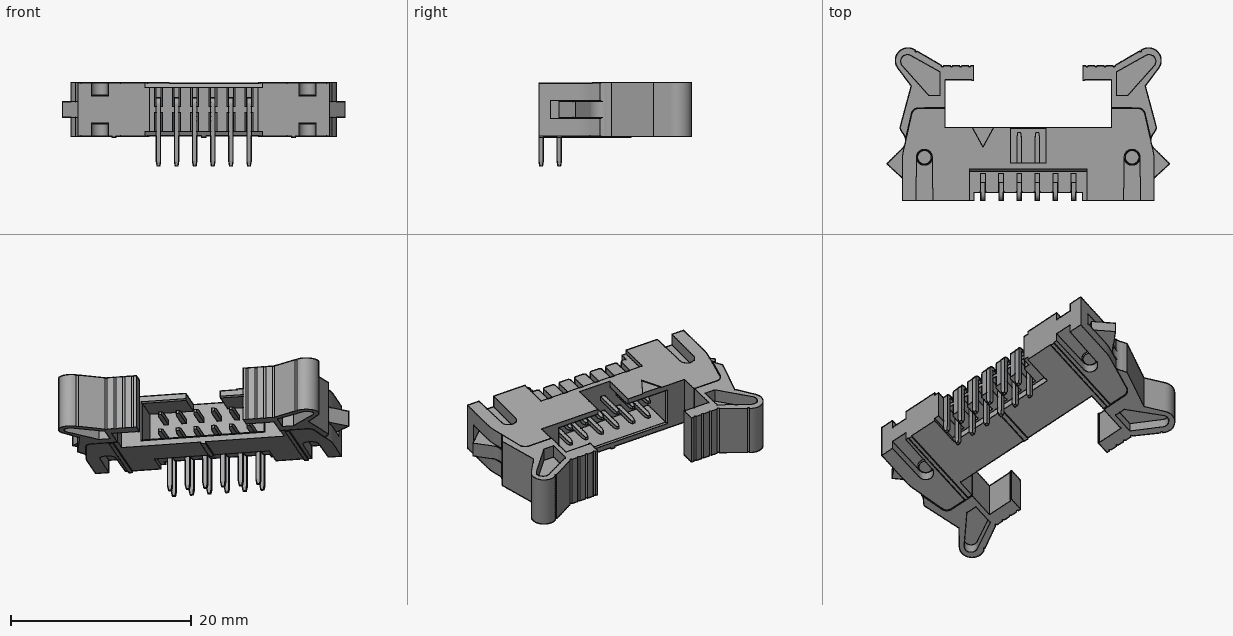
import cadquery as cq
import math


BODY_HALF_Z = 2.9
BODY_HALF_X = 13.93
BODY_Y = 8.1
EAR_Y = 10.2
EAR_INNER_X = 9.2
TAPER_Y = 5.0
EAR_CORNER_X = 12.75
EAR_CORNER_R = 0.8
FLANK_BLEND_R = 5.0

CAVITY_FLOOR_Y = 4.15
CAVITY_HALF_X = 6.9
CAVITY_HALF_Z = 2.13
CAVITY_MOUTH_CHAMFER = 0.15
KEY_HALF_X = 1.95

RECESS_HALF_X = 6.5
RECESS_HALF_Z = 2.4
RECESS_TOP_Y = 3.5
RECESS_FLOOR_Y = 3.22
BLOCK_FRONT_Y = 0.88
BLOCK_HALF_X = 5.98

PIN_COUNT = 6
PIN_PITCH = 2.0
PIN_SIZE = 0.5
PIN_TIP_SIZE = 0.3
PIN_TIP_LENGTH = 0.53
PIN_ROW_Z = 1.0
PIN_BEND_R = 0.2
PIN_BOTTOM_Z = -6.25
PIN_END_Y = 7.5
LOWER_TAIL_Y = 2.0

GROOVE_WIDTH = 0.53
GROOVE_MOUTH_WIDTH = 0.88
GROOVE_FLARE = 0.15
GROOVE_BACK_Y = 2.97
GROOVE_INNER_Z = 0.35
GROOVE_STEP_Z = 1.35

MOUNT_X = 11.5
MOUNT_Y = 4.8
MOUNT_R = 0.88
MOUNT_MOUTH_HALF_WIDTH = 0.95
MOUNT_FLOOR_Z = 1.47
MOUNT_PAD_HEIGHT = 0.15
MOUNT_PAD_TOP_R = 0.75

MARK_HALF_WIDTH = 1.2
MARK_TIP_Y = 5.92
MARK_HEIGHT = 0.1
RIB_X = 9.95
RIB_WIDTH = 0.45
CENTER_RIB_WIDTH = 0.53
RIB_HEIGHT = 0.2

LEVER_HALF_Z = 3.0
LEVER_GAP = 0.05
LEVER_SLOT_HALF_Z = 1.0
LEVER_ARM_HALF_Z = 0.88
LEVER_SLOT_X = 11.42
LEVER_SLOT_Y = 1.3
LOBE_TIP = (-15.65, 4.07)
LOBE_TOP = (-13.87, 5.82)
LOBE_BOTTOM = (-13.68, 2.25)
ARM_HEEL_Y = 3.75
ARM_ROOT = 0.63
HEAD_CENTER = (-13.3, 15.5)
HEAD_R = 1.4
ROUND_END_DIRECTION = 135
HEEL = (-12.95, 12.68)
HIP_TOP = (-14.2, 8.0)
HIP_BOTTOM = (-13.93, 7.5)
NECK_MIDDLE = (-13.58, 6.67)
GRIP_Y = 14.93
GRIP_START_X = -9.55
GRIP_BOTTOM_Y = 13.35
GRIP_END_X = -6.05
GRIP_LIP = (0.2, 0.1)
GRIP_NOTCH_PITCH = 1.0
GRIP_NOTCH_FIRST_X = -9.48
GRIP_NOTCH_COUNT = 4
GRIP_NOTCH_R = 0.13
HEAD_NOTCH = (-12.4, 16.6)

POCKET_CENTER = (-13.35, 15.4)
POCKET_R = 0.75
POCKET_INNER_X = -9.75
POCKET_TOP_Y = 14.25
POCKET_BOTTOM_Y = 11.65
POCKET_CORNER_X = -11.02
POCKET_DEPTH = 1.53

PIN_XS = [(i - (PIN_COUNT - 1) / 2) * PIN_PITCH for i in range(PIN_COUNT)]


def box(x0, x1, y0, y1, z0, z1):
    """Axis-aligned box between two corners."""
    return cq.Workplane("XY").box(x1 - x0, y1 - y0, z1 - z0, centered=False).translate((x0, y0, z0))


def plate(outline, half_z):
    """Extrude a closed XY outline symmetrically about the mid-plane."""
    return outline.extrude(half_z, both=True)


def both_sides(shape, plane):
    """A shape together with its mirror image."""
    return shape.union(shape.mirror(plane))


def tangent_point(point, center, radius, side):
    """Touch point of the tangent from a point to a circle; side is +1 or -1."""
    dx = point[0] - center[0]
    dy = point[1] - center[1]
    angle = math.atan2(dy, dx) + side * math.acos(radius / math.hypot(dx, dy))
    return (center[0] + radius * math.cos(angle), center[1] + radius * math.sin(angle))


def point_on_circle(center, radius, degrees):
    """Point on a circle at a given direction."""
    angle = math.radians(degrees)
    return (center[0] + radius * math.cos(angle), center[1] + radius * math.sin(angle))


def housing_prism(half_z):
    """Solid housing: a U outline with leaning, rounded ears."""
    half_outline = [
        (0, 0), (-BODY_HALF_X, 0), (-BODY_HALF_X, TAPER_Y), (-EAR_CORNER_X, EAR_Y),
        (-EAR_INNER_X, EAR_Y), (-EAR_INNER_X, BODY_Y), (0, BODY_Y),
    ]
    half = cq.Workplane("XY").workplane(offset=-half_z).polyline(half_outline).close().extrude(2 * half_z)
    half = half.edges(cq.NearestToPointSelector((-EAR_CORNER_X, EAR_Y, 0))).fillet(EAR_CORNER_R)
    half = half.edges(cq.NearestToPointSelector((-BODY_HALF_X, TAPER_Y, 0))).fillet(FLANK_BLEND_R)
    return both_sides(half, "YZ")


def cavity():
    """Mating cavity with a chamfered mouth, and the key slot through the upper wall."""
    pocket = box(-CAVITY_HALF_X, CAVITY_HALF_X, CAVITY_FLOOR_Y, BODY_Y, -CAVITY_HALF_Z, CAVITY_HALF_Z)
    mouth = (
        cq.Workplane("XZ", origin=(0, BODY_Y - CAVITY_MOUTH_CHAMFER, 0))
        .rect(2 * CAVITY_HALF_X, 2 * CAVITY_HALF_Z)
        .workplane(offset=-CAVITY_MOUTH_CHAMFER)
        .rect(2 * (CAVITY_HALF_X + CAVITY_MOUTH_CHAMFER), 2 * (CAVITY_HALF_Z + CAVITY_MOUTH_CHAMFER))
        .loft(combine=True)
    )
    key = box(-KEY_HALF_X, KEY_HALF_X, CAVITY_FLOOR_Y, BODY_Y, 0, BODY_HALF_Z)
    return pocket.union(mouth).union(key)


def tail_recess():
    """Stepped recess around the pin tails, leaving the block that the tails pass through."""
    slope = (RECESS_TOP_Y - RECESS_FLOOR_Y) / (BODY_HALF_Z - RECESS_HALF_Z)
    outer_z = BODY_HALF_Z + RIB_HEIGHT
    outer_y = RECESS_TOP_Y + slope * RIB_HEIGHT
    step = (
        cq.Workplane("YZ", origin=(-RECESS_HALF_X, 0, 0))
        .polyline([
            (0, RECESS_HALF_Z), (RECESS_FLOOR_Y, RECESS_HALF_Z),
            (outer_y, outer_z), (0, outer_z),
        ])
        .close()
        .extrude(2 * RECESS_HALF_X)
    )
    front = box(-BLOCK_HALF_X, BLOCK_HALF_X, 0, BLOCK_FRONT_Y, -BODY_HALF_Z, BODY_HALF_Z)
    return both_sides(step, "XY").union(front)


def tail_groove(x, back_y, z0, z1):
    """Groove along Z in the block face, flared at its mouth."""
    flare_y = BLOCK_FRONT_Y + GROOVE_FLARE
    return (
        cq.Workplane("XY", origin=(x, 0, z0))
        .polyline([
            (-GROOVE_MOUTH_WIDTH / 2, BLOCK_FRONT_Y), (-GROOVE_WIDTH / 2, flare_y),
            (-GROOVE_WIDTH / 2, back_y), (GROOVE_WIDTH / 2, back_y),
            (GROOVE_WIDTH / 2, flare_y), (GROOVE_MOUTH_WIDTH / 2, BLOCK_FRONT_Y),
        ])
        .close()
        .extrude(z1 - z0)
    )


def tail_grooves(x):
    """Upper groove, deeper above the pin, and the lower groove at one pin position."""
    return (
        tail_groove(x, LOWER_TAIL_Y, GROOVE_INNER_Z, RECESS_HALF_Z)
        .union(tail_groove(x, GROOVE_BACK_Y, GROOVE_STEP_Z, RECESS_HALF_Z))
        .union(tail_groove(x, GROOVE_BACK_Y, -RECESS_HALF_Z, -GROOVE_INNER_Z))
    )


def mounting_slot():
    """Slot from the tail face to a round end, with a low tapered pad at the end."""
    depth = BODY_HALF_Z - MOUNT_FLOOR_Z
    slot = (
        cq.Workplane("XY", origin=(-MOUNT_X, 0, MOUNT_FLOOR_Z))
        .moveTo(-MOUNT_MOUTH_HALF_WIDTH, 0)
        .lineTo(-MOUNT_R, MOUNT_Y)
        .threePointArc((0, MOUNT_Y + MOUNT_R), (MOUNT_R, MOUNT_Y))
        .lineTo(MOUNT_MOUTH_HALF_WIDTH, 0)
        .close()
        .extrude(depth)
    )
    pad = (
        cq.Workplane("XY", origin=(-MOUNT_X, MOUNT_Y, MOUNT_FLOOR_Z))
        .circle(MOUNT_R)
        .workplane(offset=MOUNT_PAD_HEIGHT)
        .circle(MOUNT_PAD_TOP_R)
        .loft(combine=True)
    )
    return slot.cut(pad)


def lever_slot():
    """Side slot in the housing that receives the lever arm."""
    return box(-BODY_HALF_X, -LEVER_SLOT_X, LEVER_SLOT_Y, EAR_Y, -LEVER_SLOT_HALF_Z, LEVER_SLOT_HALF_Z)


def pin_one_mark():
    """Raised triangle pointing at the first pin."""
    x = PIN_XS[0]
    return (
        cq.Workplane("XY", origin=(x, 0, BODY_HALF_Z))
        .polyline([(-MARK_HALF_WIDTH, BODY_Y), (MARK_HALF_WIDTH, BODY_Y), (0, MARK_TIP_Y)])
        .close()
        .extrude(MARK_HEIGHT)
    )


def rib(x, width, length):
    """Standoff rib along the underside."""
    return box(x - width / 2, x + width / 2, 0, length, -BODY_HALF_Z - RIB_HEIGHT, -BODY_HALF_Z)


def pin_tip(plane, origin):
    """Tapered square tip growing from the end of a pin."""
    return (
        cq.Workplane(plane, origin=origin)
        .rect(PIN_SIZE, PIN_SIZE)
        .workplane(offset=-PIN_TIP_LENGTH)
        .rect(PIN_TIP_SIZE, PIN_TIP_SIZE)
        .loft(combine=True)
    )


def pin(x, row_z, tail_y):
    """Square pin bent down from the mating direction to the tail."""
    half = PIN_SIZE / 2
    tail_end_z = PIN_BOTTOM_Z + PIN_TIP_LENGTH
    mating_end_y = PIN_END_Y - PIN_TIP_LENGTH
    inner_y = tail_y + PIN_SIZE
    body = (
        cq.Workplane("YZ", origin=(x - half, 0, 0))
        .polyline([
            (tail_y, tail_end_z), (inner_y, tail_end_z), (inner_y, row_z - half),
            (mating_end_y, row_z - half), (mating_end_y, row_z + half), (tail_y, row_z + half),
        ])
        .close()
        .extrude(PIN_SIZE)
    )
    inner_corner = cq.NearestToPointSelector((x, inner_y, row_z - half))
    outer_corner = cq.NearestToPointSelector((x, tail_y, row_z + half))
    body = body.edges(inner_corner).fillet(PIN_BEND_R)
    body = body.edges(outer_corner).fillet(PIN_BEND_R + PIN_SIZE)
    tail_tip = pin_tip("XY", (x, tail_y + half, tail_end_z))
    mating_tip = pin_tip("XZ", (x, mating_end_y, row_z))
    return body.union(tail_tip).union(mating_tip)


def lever_head():
    """Thumb head with the grip hook, fitted around the ear."""
    grip_start = (GRIP_START_X, GRIP_Y)
    lip_x, lip_y = GRIP_LIP
    outline = (
        cq.Workplane("XY")
        .moveTo(*grip_start)
        .lineTo(*tangent_point(grip_start, HEAD_CENTER, HEAD_R, 1))
        .threePointArc(
            point_on_circle(HEAD_CENTER, HEAD_R, ROUND_END_DIRECTION),
            tangent_point(HEEL, HEAD_CENTER, HEAD_R, -1),
        )
        .lineTo(*HEEL)
        .lineTo(*HIP_TOP)
        .lineTo(*HIP_BOTTOM)
        .threePointArc(NECK_MIDDLE, LOBE_TOP)
        .lineTo(-EAR_INNER_X, LOBE_TOP[1])
        .lineTo(-EAR_INNER_X, GRIP_BOTTOM_Y)
        .lineTo(GRIP_END_X - lip_x, GRIP_BOTTOM_Y)
        .lineTo(GRIP_END_X - lip_x, GRIP_BOTTOM_Y - lip_y)
        .lineTo(GRIP_END_X, GRIP_BOTTOM_Y - lip_y)
        .lineTo(GRIP_END_X, GRIP_Y)
        .close()
    )
    head = plate(outline, LEVER_HALF_Z)
    notch_points = [(GRIP_NOTCH_FIRST_X + i * GRIP_NOTCH_PITCH, GRIP_Y) for i in range(GRIP_NOTCH_COUNT)]
    notch_points.append(HEAD_NOTCH)
    notches = plate(cq.Workplane("XY").pushPoints(notch_points).circle(GRIP_NOTCH_R), LEVER_HALF_Z)
    ear_clearance = (
        housing_prism(LEVER_HALF_Z)
        .faces("<Z")
        .wires()
        .toPending()
        .offset2D(LEVER_GAP)
        .extrude(2 * LEVER_HALF_Z, combine=False)
    )
    below_neck = box(LOBE_TOP[0], -EAR_INNER_X, LOBE_TOP[1], NECK_MIDDLE[1], -LEVER_HALF_Z, LEVER_HALF_Z)
    return head.cut(notches).cut(ear_clearance).cut(below_neck)


def head_pocket():
    """Tapering pocket in the upper face of the lever head."""
    top_corner = (POCKET_INNER_X, POCKET_TOP_Y)
    bottom_corner = (POCKET_CORNER_X, POCKET_BOTTOM_Y)
    return (
        cq.Workplane("XY", origin=(0, 0, LEVER_HALF_Z - POCKET_DEPTH))
        .moveTo(*top_corner)
        .lineTo(*tangent_point(top_corner, POCKET_CENTER, POCKET_R, 1))
        .threePointArc(
            point_on_circle(POCKET_CENTER, POCKET_R, ROUND_END_DIRECTION),
            tangent_point(bottom_corner, POCKET_CENTER, POCKET_R, -1),
        )
        .lineTo(*bottom_corner)
        .lineTo(POCKET_INNER_X, POCKET_BOTTOM_Y)
        .close()
        .extrude(POCKET_DEPTH)
    )


def lever_arm():
    """Narrow arm in the side slot, with the neck and the pointed lobe."""
    arm_top_y = EAR_Y + LEVER_GAP + ARM_ROOT
    outline = (
        cq.Workplane("XY")
        .moveTo(*HIP_BOTTOM)
        .threePointArc(NECK_MIDDLE, LOBE_TOP)
        .lineTo(*LOBE_TIP)
        .lineTo(*LOBE_BOTTOM)
        .lineTo(-LEVER_SLOT_X, ARM_HEEL_Y)
        .lineTo(-LEVER_SLOT_X, arm_top_y)
        .lineTo(-EAR_CORNER_X, arm_top_y)
        .close()
    )
    return plate(outline, LEVER_ARM_HALF_Z)


def lever():
    """Complete left-hand ejector lever."""
    return lever_head().cut(both_sides(head_pocket(), "XY")).union(lever_arm())


housing = housing_prism(BODY_HALF_Z)
housing = housing.union(both_sides(rib(RIB_X, RIB_WIDTH, EAR_Y), "YZ"))
housing = housing.union(rib(0, CENTER_RIB_WIDTH, BODY_Y))
housing = housing.union(pin_one_mark())
housing = housing.cut(cavity()).cut(tail_recess())
for pin_x in PIN_XS:
    housing = housing.cut(tail_grooves(pin_x))
housing = housing.cut(both_sides(both_sides(mounting_slot(), "XY"), "YZ"))
housing = housing.cut(both_sides(lever_slot(), "YZ"))

result = housing.union(both_sides(lever(), "YZ"))
for pin_x in PIN_XS:
    result = result.union(pin(pin_x, PIN_ROW_Z, 0)).union(pin(pin_x, -PIN_ROW_Z, LOWER_TAIL_Y))